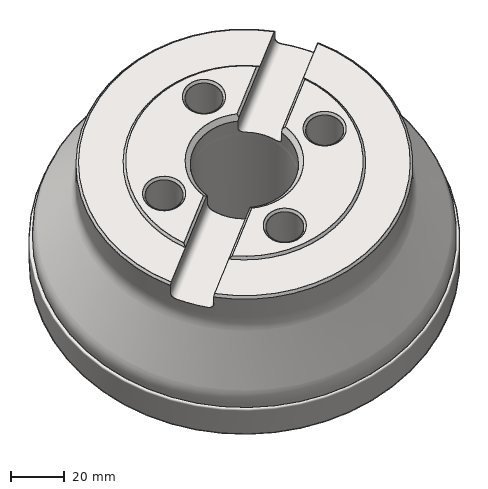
import cadquery as cq
import math

ring_diameter = 159.9
total_height = 63.0

skirt_diameter = 157.4
neck_diameter = 125.0
cone_angle = 33.0
blend_radius = 10.0
neck_blend_start = 49.1
neck_chamfer = 1.0

boss_diameter = 90.0
boss_height = 1.0
shoulder_height = total_height - boss_height

bore_diameter = 40.0
seat_diameter = 40.1
seat_floor = 52.5
seat_cone_height = 1.1
bore_chamfer = 1.9

slot_width = 17.0
slot_floor = 54.0
slot_fillet = 2.5

bolt_diameter = 14.0
bolt_chamfer = 1.0
bolt_spacing = 47.2

band_height = 15.5
band_rounding = 0.6
edge_width = 0.4
edge_height = 0.8
relief_width = 0.08
relief_height = 0.5


def revolve_outline(outline):
    """Close an XZ half outline and turn it about the Z axis."""
    return outline.close().revolve(360, (0, 0, 0), (0, 1, 0))


def make_hub_blank():
    """Solid of revolution: foot, skirt, cone and neck, joined by tangent arcs."""
    angle = math.radians(cone_angle)
    arc_width = blend_radius * (1 - math.cos(angle))
    arc_height = blend_radius * math.sin(angle)
    mid_width = blend_radius * (1 - math.cos(angle / 2))
    mid_height = blend_radius * math.sin(angle / 2)
    neck_radius = neck_diameter / 2
    skirt_radius = skirt_diameter / 2
    cone_top = neck_blend_start - arc_height
    cone_width = skirt_radius - neck_radius - 2 * arc_width
    cone_bottom = cone_top - cone_width / math.tan(angle)
    skirt_top = cone_bottom - arc_height
    outline = (
        cq.Workplane("XZ")
        .lineTo(skirt_radius, 0)
        .lineTo(skirt_radius, skirt_top)
        .threePointArc(
            (skirt_radius - mid_width, skirt_top + mid_height),
            (skirt_radius - arc_width, cone_bottom),
        )
        .lineTo(neck_radius + arc_width, cone_top)
        .threePointArc(
            (neck_radius + mid_width, neck_blend_start - mid_height),
            (neck_radius, neck_blend_start),
        )
        .lineTo(neck_radius, shoulder_height - neck_chamfer)
        .lineTo(neck_radius - neck_chamfer, shoulder_height)
        .lineTo(0, shoulder_height)
    )
    return revolve_outline(outline)


def make_boss():
    """Low disc on the shoulder, split by the slot, with full-height chamfers on its edges."""
    shoulder = cq.Workplane("XY").workplane(offset=shoulder_height)
    disc = shoulder.circle(boss_diameter / 2).extrude(boss_height, taper=45)
    gap = (
        cq.Workplane("XZ")
        .moveTo(-slot_width / 2, shoulder_height)
        .lineTo(slot_width / 2, shoulder_height)
        .lineTo(slot_width / 2 + boss_height, total_height)
        .lineTo(-slot_width / 2 - boss_height, total_height)
        .close()
        .extrude(boss_diameter / 2, both=True)
    )
    return disc.cut(gap)


def make_bore():
    """Cutter for the central hole: bore, slightly wider seat above it, chamfered mouth."""
    seat_radius = seat_diameter / 2
    bore_radius = bore_diameter / 2
    outline = (
        cq.Workplane("XZ")
        .lineTo(bore_radius, 0)
        .lineTo(bore_radius, seat_floor)
        .lineTo(seat_radius, seat_floor + seat_cone_height)
        .lineTo(seat_radius, total_height - bore_chamfer)
        .lineTo(seat_radius + bore_chamfer, total_height)
        .lineTo(0, total_height)
    )
    return revolve_outline(outline)


def make_slot():
    """Cutter for the driving slot, with rounded floor edges."""
    height = total_height - slot_floor
    return (
        cq.Workplane("XY")
        .box(slot_width, ring_diameter, height, centered=(True, True, False))
        .edges("|Y and <Z")
        .fillet(slot_fillet)
        .translate((0, 0, slot_floor))
    )


def make_bolt_hole():
    """Cutter for one through hole with a chamfered mouth, on the Z axis."""
    radius = bolt_diameter / 2
    outline = (
        cq.Workplane("XZ")
        .lineTo(radius, 0)
        .lineTo(radius, total_height - bolt_chamfer)
        .lineTo(radius + bolt_chamfer, total_height)
        .lineTo(0, total_height)
    )
    return revolve_outline(outline)


def make_hub():
    hub = make_hub_blank().union(make_boss()).cut(make_slot()).cut(make_bore())
    for x in (-bolt_spacing / 2, bolt_spacing / 2):
        for y in (-bolt_spacing / 2, bolt_spacing / 2):
            hub = hub.cut(make_bolt_hole().translate((x, y, 0)))
    return hub


def make_band():
    """Ring around the foot: rounded top edge, bottom edge broken in two steps."""
    inner_radius = skirt_diameter / 2
    outer_radius = ring_diameter / 2
    edge_radius = outer_radius - relief_width
    mid_offset = band_rounding * math.sqrt(0.5)
    outline = (
        cq.Workplane("XZ")
        .moveTo(inner_radius, 0)
        .lineTo(edge_radius - edge_width, 0)
        .lineTo(edge_radius, edge_height)
        .lineTo(outer_radius, edge_height + relief_height)
        .lineTo(outer_radius, band_height - band_rounding)
        .threePointArc(
            (outer_radius - band_rounding + mid_offset, band_height - band_rounding + mid_offset),
            (outer_radius - band_rounding, band_height),
        )
        .lineTo(inner_radius, band_height)
    )
    return revolve_outline(outline)


hub = make_hub()
band = make_band()
result = cq.Compound.makeCompound([hub.val(), band.val()])